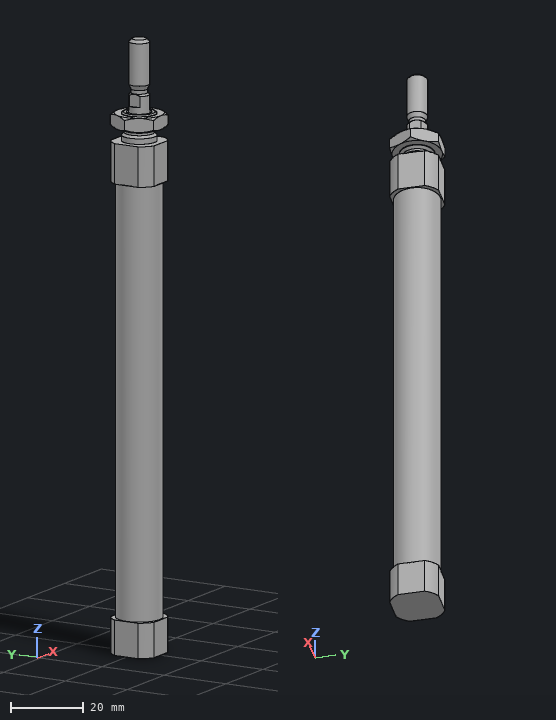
import cadquery as cq
import math

TOTAL_LENGTH = 175.2

FLAT_WIDTH = 14.0
CAP_DIAMETER = 16.0
TUBE_DIAMETER = 13.3
REAR_CAP_TOP = 10.2
FRONT_CAP_BOTTOM = 134.5
FRONT_CAP_TOP = 146.1

THREAD_DIAMETER = 10.0
UNDERCUT_DIAMETER = 8.4
NOSE_TIP_DIAMETER = 9.0
COLLAR_TOP = 147.7
UNDERCUT_BOTTOM = 148.4
UNDERCUT_TOP = 149.1
THREAD_BOTTOM = 149.8
NOSE_TOP = 154.4

RECESS_DIAMETER = 7.0
RECESS_DEPTH = 0.9

NUT_BOTTOM = 150.0
NUT_TOP = 154.0
NUT_FACE_DIAMETER = 14.0
NUT_CHAMFER_ANGLE = 30.0

ROD_DIAMETER = 6.0
ROD_BOTTOM = FRONT_CAP_BOTTOM
SHOULDER_DIAMETER = 4.7
SHOULDER_CHAMFER_BOTTOM = 159.3
NECK_BOTTOM = 159.8
NECK_TOP = 160.8
ROD_THREAD_BOTTOM = 162.2
TIP_DIAMETER = 4.2
TIP_CHAMFER = (ROD_DIAMETER - TIP_DIAMETER) / 2
WRENCH_WIDTH = 4.9
WRENCH_BOTTOM = 156.1


def cylinder(diameter, bottom, top):
    """Cylinder on the Z axis between two heights."""
    return cq.Workplane("XY").workplane(offset=bottom).circle(diameter / 2).extrude(top - bottom)


def turned(profile):
    """Solid turned about Z from (diameter, height) pairs listed upwards."""
    outline = [(0, profile[0][1])]
    outline += [(diameter / 2, height) for diameter, height in profile]
    outline += [(0, profile[-1][1])]
    return cq.Workplane("XZ").polyline(outline).close().revolve(360, (0, 0), (0, 1))


def make_cap(bottom, top):
    """Square cap whose corners are rounded by a concentric cylinder."""
    height = top - bottom
    square = cq.Workplane("XY").workplane(offset=bottom).rect(FLAT_WIDTH, FLAT_WIDTH).extrude(height)
    return square.intersect(cylinder(CAP_DIAMETER, bottom, top))


def make_housing():
    tube = cylinder(TUBE_DIAMETER, REAR_CAP_TOP, FRONT_CAP_BOTTOM)
    rear_cap = make_cap(0, REAR_CAP_TOP)
    front_cap = make_cap(FRONT_CAP_BOTTOM, FRONT_CAP_TOP)
    tip_chamfer = (THREAD_DIAMETER - NOSE_TIP_DIAMETER) / 2
    nose = turned([
        (THREAD_DIAMETER, FRONT_CAP_TOP),
        (THREAD_DIAMETER, COLLAR_TOP),
        (UNDERCUT_DIAMETER, UNDERCUT_BOTTOM),
        (UNDERCUT_DIAMETER, UNDERCUT_TOP),
        (THREAD_DIAMETER, THREAD_BOTTOM),
        (THREAD_DIAMETER, NOSE_TOP - tip_chamfer),
        (NOSE_TIP_DIAMETER, NOSE_TOP),
    ])
    rod_bore = cylinder(ROD_DIAMETER, ROD_BOTTOM, NOSE_TOP)
    recess = cylinder(RECESS_DIAMETER, NOSE_TOP - RECESS_DEPTH, NOSE_TOP)
    body = tube.union(rear_cap).union(front_cap).union(nose)
    return body.cut(rod_bore).cut(recess)


def make_nut():
    corner_diameter = FLAT_WIDTH / math.cos(math.radians(30))
    chamfer_run = (corner_diameter - NUT_FACE_DIAMETER) / 2
    chamfer_height = chamfer_run * math.tan(math.radians(NUT_CHAMFER_ANGLE))
    hexagon = (
        cq.Workplane("XY").workplane(offset=NUT_BOTTOM)
        .polygon(6, corner_diameter)
        .extrude(NUT_TOP - NUT_BOTTOM)
    )
    chamfered_blank = turned([
        (NUT_FACE_DIAMETER, NUT_BOTTOM),
        (corner_diameter, NUT_BOTTOM + chamfer_height),
        (corner_diameter, NUT_TOP - chamfer_height),
        (NUT_FACE_DIAMETER, NUT_TOP),
    ])
    thread_hole = cylinder(THREAD_DIAMETER, NUT_BOTTOM, NUT_TOP)
    return hexagon.intersect(chamfered_blank).cut(thread_hole)


def make_rod():
    rod = turned([
        (ROD_DIAMETER, ROD_BOTTOM),
        (ROD_DIAMETER, SHOULDER_CHAMFER_BOTTOM),
        (SHOULDER_DIAMETER, NECK_BOTTOM),
        (SHOULDER_DIAMETER, NECK_TOP),
        (ROD_DIAMETER, ROD_THREAD_BOTTOM),
        (ROD_DIAMETER, TOTAL_LENGTH - TIP_CHAMFER),
        (TIP_DIAMETER, TOTAL_LENGTH),
    ])
    flat_depth = (ROD_DIAMETER - WRENCH_WIDTH) / 2
    flat_height = NECK_BOTTOM - WRENCH_BOTTOM
    for side in (-1, 1):
        flat_cut = (
            cq.Workplane("XY").workplane(offset=WRENCH_BOTTOM)
            .center(side * (WRENCH_WIDTH + flat_depth) / 2, 0)
            .rect(flat_depth, ROD_DIAMETER)
            .extrude(flat_height)
        )
        rod = rod.cut(flat_cut)
    return rod


housing = make_housing()
nut = make_nut()
rod = make_rod()

result = cq.Compound.makeCompound([housing.val(), nut.val(), rod.val()])